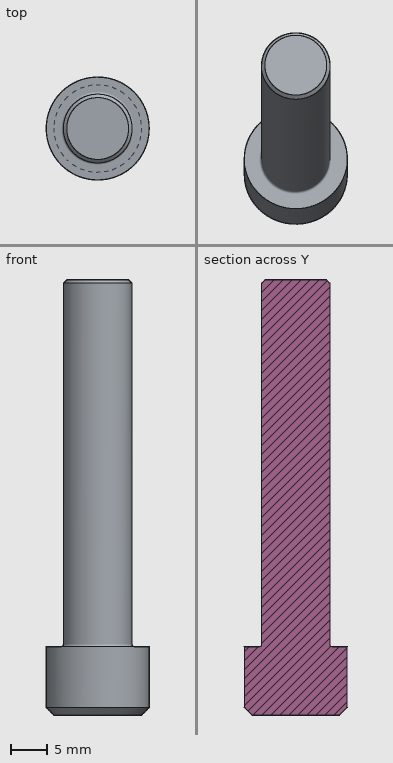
import cadquery as cq

total_length = 60.3
shank_diameter = 9.55
head_diameter = 1.5 * shank_diameter
head_height = shank_diameter

head_chamfer_height = 1.1
head_chamfer_width = 1.1
tip_chamfer_height = 0.5
tip_chamfer_width = 0.5
root_fillet_radius = 0.3

shank_radius = shank_diameter / 2
head_radius = head_diameter / 2

half_section = (
    cq.Workplane("XZ")
    .lineTo(head_radius - head_chamfer_width, 0)
    .lineTo(head_radius, head_chamfer_height)
    .lineTo(head_radius, head_height)
    .lineTo(shank_radius + root_fillet_radius, head_height)
    .radiusArc((shank_radius, head_height + root_fillet_radius), root_fillet_radius)
    .lineTo(shank_radius, total_length - tip_chamfer_height)
    .lineTo(shank_radius - tip_chamfer_width, total_length)
    .lineTo(0, total_length)
    .close()
)

result = half_section.revolve(360, (0, 0, 0), (0, 1, 0))